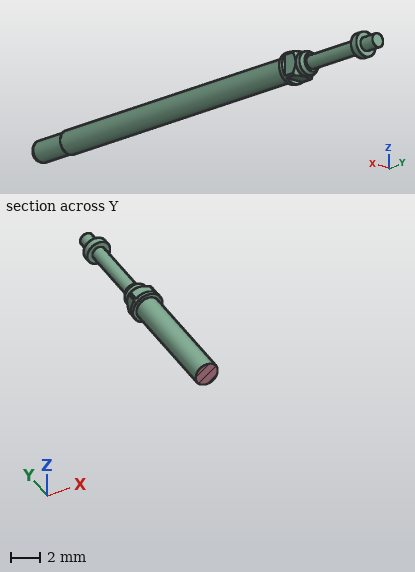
import cadquery as cq

total_length = 34.15
plunger_tip_length = 1.2
plunger_disc_thickness = 0.55
nose_position = 6.65
nose_taper_length = 0.3
nose_length = 0.7
collar_length = 1.05
flange_thickness = 0.3
tail_length = 3.05
tail_chamfer_length = 0.25

plunger_diameter = 1.0
plunger_disc_diameter = 1.78
nose_tip_diameter = 1.33
nose_diameter = 1.7
flange_diameter = 2.3
body_diameter = 1.75
tail_diameter = 1.57
tail_chamfer_width = 0.15

collar_across_flats = 1.75
collar_bevel_length = 0.27

plunger_end = total_length / 2
tail_end = -total_length / 2
nose_front = plunger_end - nose_position
collar_front = nose_front - nose_length
flange_front = collar_front - collar_length
flange_back = flange_front - flange_thickness
body_end = tail_end + tail_length


def rod(diameter, front, back):
    """Cylinder about the Y axis from y = front down to y = back."""
    return cq.Workplane("XZ", origin=(0, front, 0)).circle(diameter / 2).extrude(front - back)


def make_plunger():
    disc_front = plunger_end - plunger_tip_length
    stem = rod(plunger_diameter, plunger_end, nose_front)
    disc = rod(plunger_disc_diameter, disc_front, disc_front - plunger_disc_thickness)
    return stem.union(disc)


def make_nose():
    nose = rod(nose_diameter, nose_front, collar_front)
    return nose.faces(">Y").chamfer(nose_taper_length, (nose_diameter - nose_tip_diameter) / 2)


def make_collar():
    """Square collar whose corners are bevelled at the nose end."""
    bevel_width = (flange_diameter - nose_diameter) / 2
    blank = rod(flange_diameter, collar_front, flange_front)
    blank = blank.faces(">Y").chamfer(collar_bevel_length, bevel_width)
    square = (
        cq.Workplane("XZ", origin=(0, collar_front, 0))
        .rect(collar_across_flats, collar_across_flats)
        .extrude(collar_length)
    )
    return blank.intersect(square)


def make_tail():
    tail = rod(tail_diameter, body_end, tail_end)
    return tail.faces("<Y").chamfer(tail_chamfer_length, tail_chamfer_width)


flange = rod(flange_diameter, flange_front, flange_back)
body = rod(body_diameter, flange_back, body_end)

result = (
    body.union(flange)
    .union(make_collar())
    .union(make_nose())
    .union(make_plunger())
    .union(make_tail())
)